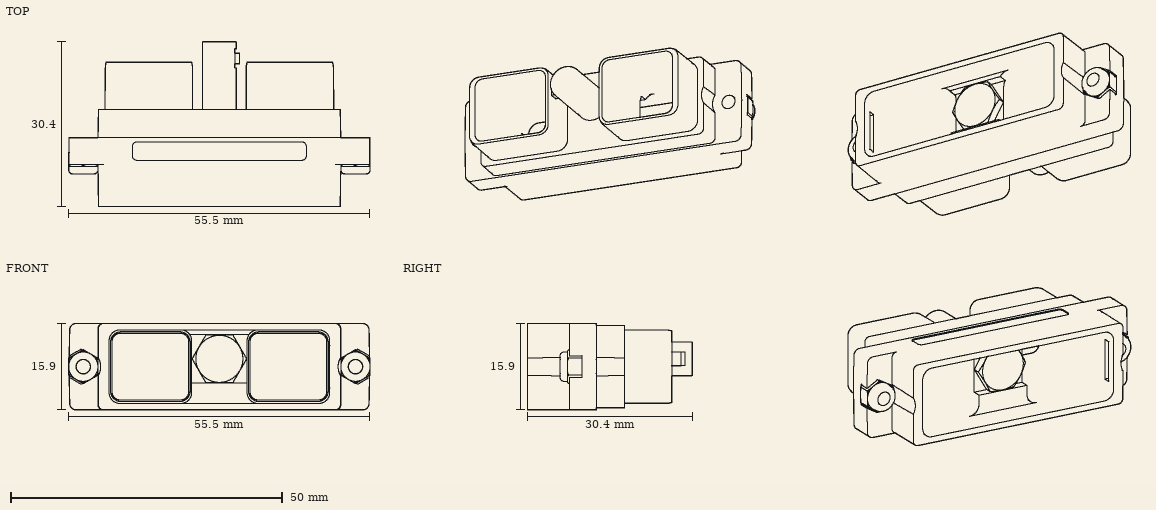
import cadquery as cq
import math


height = 15.93
body_half_front = 22.27
body_half_flange = 22.36
collar_height = 15.2
body_corner = 1.0
flange_front = 7.73
flange_back = 12.7
body_back = 17.9
flange_half_middle = 27.7
flange_half_edge = 27.55
flange_corner = 1.2

cavity_half = 20.3
cavity_height = 13.54
cavity_corner = 2.0
cavity_depth = 5.6
tube_x = 12.7
tube_width = 2 * (cavity_half - tube_x)
lead_in_start = 8.05
seat_start = 9.4
seat_end = 10.05
bore_start = 11.3
seat_step_x = 0.25
seat_step_z = 0.33
bore_width = 14.1
bore_height = 12.24
bore_corner = 1.5

pod_base_x = 13.02
pod_base_width = 16.16
pod_rear_x = 12.97
pod_rear_width = 16.05
pod_height = 13.5
pod_corner = 2.0
pod_back = 26.6
pod_rim_chamfer = 0.65
pod_rim_inset = 0.15
pod_embed = 1.0

pin_z = 1.44
head_flats = 8.7
head_chamfer_radius = 4.33
head_chamfer_slope = 0.55
head_seat = 7.4
slot_height = 8.87
pin_radius = 3.12
pin_back = 30.35
pin_edge = 0.15
lug_length = 2.0
lug_height = 2.6
lug_reach = 3.74
lug_y = 27.27
lug_flat_x = 2.86
lug_flat_length = 3.5

screw_x = 25.05
nut_flats = 5.4
nut_front = 7.42
nut_back = 10.0
nut_chamfer_radius = 2.93
nut_chamfer_slope = 1.0
nut_pocket_flats = 5.6
nut_pocket_shift = 0.4
nut_dome_front = 6.0
nut_dome_round = 0.74
screw_bore_radius = 1.3
screw_groove_radius = 3.2

label_length = 32.0
label_front = 8.52
label_back = 11.9
label_corner = 0.8
label_depth = 0.2
latch_front = 1.95
latch_back = 3.25
latch_height = 7.8
latch_depth = 1.2

CORNERS_SIDEWAYS = 0
CORNERS_UP = 90


def along_y(y, x=0, z=0):
    """Sketch plane parallel to XZ whose normal points to +Y (its local Y is -Z)."""
    return cq.Workplane(cq.Plane(origin=(x, y, z), xDir=(1, 0, 0), normal=(0, 1, 0)))


def block(x, z, width, tall, y_start, y_end, corner):
    """Box along Y with rounded long edges."""
    return along_y(y_start, x, z).rect(width, tall).extrude(y_end - y_start).edges("|Y").fillet(corner)


def rounded_section(x, width, tall, corner, y):
    """Outline wire of a rounded rectangle at the given Y, taken from the front of a slab."""
    slab = block(x, 0, width, tall, y, y + corner, corner)
    return slab.faces("<Y").wires().val()


def loft(front, back):
    """Ruled solid between two closed wires."""
    return cq.Workplane(cq.Solid.makeLoft([front, back], True))


def rod(x, z, radius, y_start, y_end):
    return along_y(y_start, x, z).circle(radius).extrude(y_end - y_start)


def hexagon(x, z, flats, y_start, y_end, turn):
    """Hexagonal prism along Y, given by its width across flats."""
    across_corners = flats / math.cos(math.pi / 6)
    sketch = along_y(y_start, x, z).transformed(rotate=(0, 0, turn))
    return sketch.polygon(6, across_corners).extrude(y_end - y_start)


def chamfered_hexagon(x, z, flats, y_start, y_end, turn, face_radius, slope):
    """Hexagonal prism whose front corners are cut by a cone."""
    length = y_end - y_start
    base_radius = face_radius + length / slope
    cone = cq.Solid.makeCone(
        face_radius, base_radius, length, cq.Vector(x, y_start, z), cq.Vector(0, 1, 0)
    )
    return hexagon(x, z, flats, y_start, y_end, turn).intersect(cq.Workplane(cone))


def drafted_body(y_thin, y_thick, tall):
    """Part of the housing in front of or behind the flange, with leaning ends."""
    outline = [
        (-body_half_front, y_thin),
        (body_half_front, y_thin),
        (body_half_flange, y_thick),
        (-body_half_flange, y_thick),
    ]
    body = cq.Workplane("XY").polyline(outline).close().extrude(tall / 2, both=True)
    ends = body.faces("<X or >X").edges("<Z or >Z")
    return ends.fillet(body_corner)


def flange():
    half = height / 2
    outline = [
        (-flange_half_edge, -half),
        (flange_half_edge, -half),
        (flange_half_middle, 0),
        (flange_half_edge, half),
        (-flange_half_edge, half),
        (-flange_half_middle, 0),
    ]
    plate = along_y(flange_front).polyline(outline).close().extrude(flange_back - flange_front)
    corners = plate.edges("|Y").edges("<Z or >Z")
    return corners.fillet(flange_corner)


def screw_grooves(part):
    """Round grooves along the body ends that clear the screws."""
    for side in (-1, 1):
        part = part.cut(rod(side * screw_x, 0, screw_groove_radius, 0, body_back))
    return part


def pod(side):
    """Tube housing behind the body, tapering to a chamfered rear rim."""
    base = rounded_section(side * pod_base_x, pod_base_width, pod_height, pod_corner, body_back - pod_embed)
    rear = rounded_section(side * pod_rear_x, pod_rear_width, pod_height, pod_corner, pod_back)
    return loft(base, rear).faces(">Y").chamfer(pod_rim_chamfer, pod_rim_inset)


def tube(side):
    """Opening through the body and the pod that narrows over two lead-ins."""
    x = side * tube_x
    seat_width = tube_width - 2 * seat_step_x
    seat_height = cavity_height - 2 * seat_step_z
    mouth = (x, tube_width, cavity_height, cavity_corner)
    seat = (x, seat_width, seat_height, cavity_corner)
    bore = (x, bore_width, bore_height, bore_corner)
    stations = [
        rounded_section(*mouth, cavity_depth),
        rounded_section(*mouth, lead_in_start),
        rounded_section(*seat, seat_start),
        rounded_section(*seat, seat_end),
        rounded_section(*bore, bore_start),
        rounded_section(*bore, pod_back),
    ]
    opening = loft(stations[0], stations[1])
    for front, back in zip(stations[1:], stations[2:]):
        opening = opening.union(loft(front, back))
    return opening


def head_slot():
    """Slot across the bridge between the tubes that takes the pin head."""
    slot_y = (cavity_depth + head_seat) / 2
    slot = cq.Workplane("XY").box(2 * tube_x, head_seat - cavity_depth, slot_height)
    return slot.translate((0, slot_y, pin_z))


def pin():
    """Hex-headed pin with a lug on a small flat near its rear end."""
    head = chamfered_hexagon(
        0, pin_z, head_flats, cavity_depth, head_seat, CORNERS_SIDEWAYS, head_chamfer_radius, head_chamfer_slope
    )
    shank = rod(0, pin_z, pin_radius, head_seat, pin_back).faces(">Y").edges().fillet(pin_edge)
    lug_sketch = cq.Workplane("YZ", origin=(lug_flat_x, lug_y, pin_z))
    shank = shank.cut(lug_sketch.rect(lug_flat_length, 2 * pin_radius).extrude(pin_radius - lug_flat_x))
    lug = lug_sketch.rect(lug_length, lug_height).extrude(lug_reach - lug_flat_x)
    return head.union(shank).union(lug)


def nut_pocket(side):
    x = side * (screw_x + nut_pocket_shift)
    return hexagon(x, 0, nut_pocket_flats, flange_front, nut_back, CORNERS_UP)


def nut(side):
    """Hex nut with a domed collar in front."""
    x = side * screw_x
    prism = chamfered_hexagon(
        x, 0, nut_flats, nut_front, nut_back, CORNERS_UP, nut_chamfer_radius, nut_chamfer_slope
    )
    dome = rod(x, 0, nut_flats / 2, nut_dome_front, nut_front).faces("<Y").edges().fillet(nut_dome_round)
    return prism.union(dome)


def label_recess():
    middle = (label_front + label_back) / 2
    sketch = cq.Workplane("XY", origin=(0, middle, height / 2 - label_depth))
    recess = sketch.rect(label_length, label_back - label_front).extrude(label_depth)
    return recess.edges("|Z").fillet(label_corner)


def latch_slot(side):
    x = side * (cavity_half + latch_depth / 2)
    y = (latch_front + latch_back) / 2
    return cq.Workplane("XY").box(latch_depth, latch_back - latch_front, latch_height).translate((x, y, 0))


front_body = drafted_body(0, flange_front, height)
collar = drafted_body(body_back, flange_back, collar_height)
result = screw_grooves(front_body.union(collar)).union(flange())
for side in (-1, 1):
    result = result.union(pod(side))

cavity = block(0, 0, 2 * cavity_half, cavity_height, 0, cavity_depth, cavity_corner)
result = result.cut(cavity)
for side in (-1, 1):
    result = result.cut(tube(side)).cut(latch_slot(side)).cut(nut_pocket(side))
result = result.cut(head_slot()).cut(label_recess())

result = result.union(pin())
for side in (-1, 1):
    screw_bore = rod(side * screw_x, 0, screw_bore_radius, nut_dome_front, flange_back)
    result = result.union(nut(side)).cut(screw_bore)